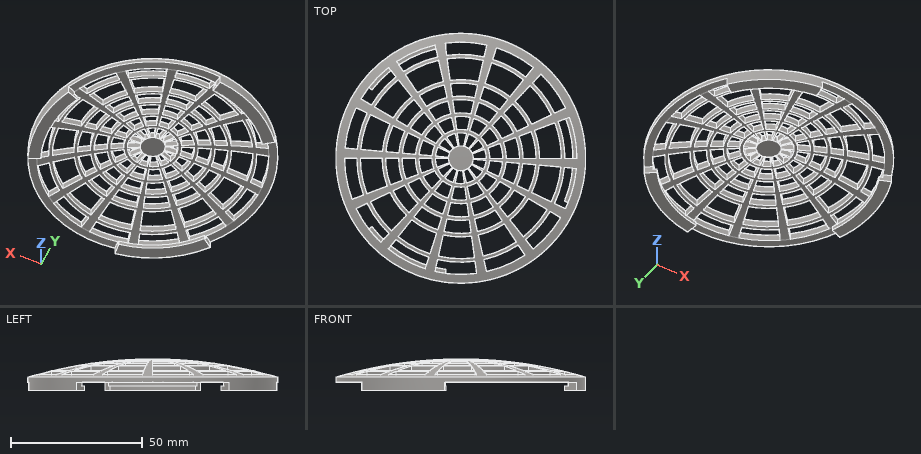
import cadquery as cq
import math

outer_radius = 47.6
rim_inner_radius = 44.2
total_height = 12.1
rim_underside = 3.1
rim_top = 5.1
dome_rise = total_height - rim_top
dome_radius = (outer_radius**2 + dome_rise**2) / (2 * dome_rise)
dome_center = total_height - dome_radius
inner_dome_radius = math.hypot(rim_inner_radius, rim_underside - dome_center)

spoke_count = 14
spoke_pitch = 360 / spoke_count
spoke_angle = 5.1
hub_radius = 4.8
ring_width = 1.4
ring_inner_radii = [9.6, 15.9, 22.3, 28.6, 38.2]

tab_count = 3
tab_pitch = 360 / tab_count
tab_angle = 45.0
lip_height = 1.8
lip_inner_radius = 42.7

seam_angle = (spoke_pitch - spoke_angle) / 2
clearance = 1.0


def polar(radius, angle):
    """Point at a radius and an angle in degrees."""
    turn = math.radians(angle)
    return (radius * math.cos(turn), radius * math.sin(turn))


def dome_point(sphere_radius, radius):
    """Profile point on a dome sphere at a distance from the axis."""
    return (radius, dome_center + math.sqrt(sphere_radius**2 - radius**2))


def add_sector(plane, inner, outer, start, end):
    """Add a closed ring-sector outline to a workplane."""
    middle = (start + end) / 2
    return (
        plane.moveTo(*polar(inner, start))
        .lineTo(*polar(outer, start))
        .threePointArc(polar(outer, middle), polar(outer, end))
        .lineTo(*polar(inner, end))
        .threePointArc(polar(inner, middle), polar(inner, start))
        .close()
    )


def make_body():
    """Revolved shell: solid dome, rim and a full skirt with an inward lip at its foot."""
    return (
        cq.Workplane("XZ")
        .moveTo(*dome_point(inner_dome_radius, 0))
        .threePointArc(
            dome_point(inner_dome_radius, rim_inner_radius / 2),
            (rim_inner_radius, rim_underside),
        )
        .lineTo(rim_inner_radius, lip_height)
        .lineTo(lip_inner_radius, lip_height)
        .lineTo(lip_inner_radius, 0)
        .lineTo(outer_radius, 0)
        .lineTo(outer_radius, rim_top)
        .threePointArc(dome_point(dome_radius, outer_radius / 2), (0, total_height))
        .close()
        .revolve(360, (0, 0), (0, 1))
        .rotate((0, 0, 0), (0, 0, 1), seam_angle)
    )


def make_tab_gaps():
    """Cutters that remove the skirt between the tabs, up to the rim underside."""
    plane = cq.Workplane("XY")
    for tab in range(tab_count):
        start = tab * tab_pitch + tab_angle / 2
        end = start + tab_pitch - tab_angle
        plane = add_sector(plane, lip_inner_radius - clearance, outer_radius + clearance, start, end)
    return plane.extrude(rim_underside)


def make_windows():
    """Cutters for the openings between neighbouring spokes and rings, above the lip."""
    inner_edges = [hub_radius] + [radius + ring_width for radius in ring_inner_radii]
    outer_edges = ring_inner_radii + [rim_inner_radius]
    plane = cq.Workplane("XY").workplane(offset=rim_underside)
    for spoke in range(spoke_count):
        start = spoke * spoke_pitch
        end = start + spoke_pitch - spoke_angle
        for inner, outer in zip(inner_edges, outer_edges):
            plane = add_sector(plane, inner, outer, start, end)
    return plane.extrude(total_height)


result = make_body().cut(make_tab_gaps()).cut(make_windows())